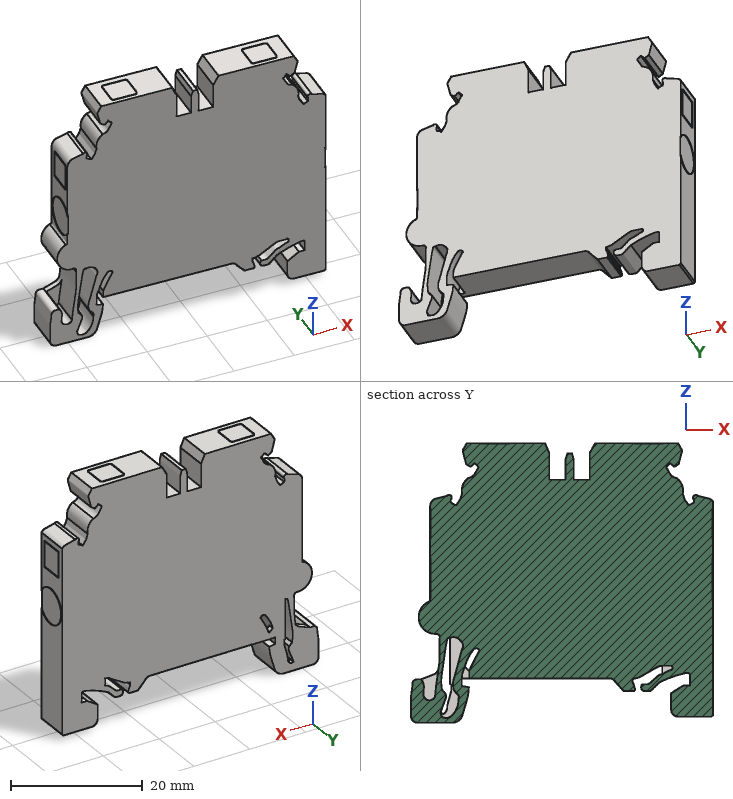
import cadquery as cq

LENGTH = 45.9
THICKNESS = 5.95
HEIGHT = 42.5

WEB = 1.0
POCKET_DEPTH = THICKNESS - WEB
RELIEF = 0.1

LEFT_WALL_X = 2.9
NOTCH_X = 7.76
RAIL_SEAT_Z = 6.74
SPRING_ROOT_TOP = (38.15, 8.65)
SPRING_ROOT_BOTTOM = (38.15, 7.42)
FOOT_Z = 0.93
FOOT_TOE_X = 39.5
FOOT_CHAMFER = 0.25
SHOULDER_AXIS_X = 24.53

SLOT_X = (21.04, 27.14)
SLOT_FLOOR_Z = 36.93
SLOT_BEVEL_Z = 41.0
SLOT_BEVEL_X = (20.36, 28.02)
TONGUE_X = (23.46, 24.74)
TONGUE_CREST_X = (23.77, 24.49)
TONGUE_SHOULDER_Z = 40.0
TONGUE_TOP_Z = 40.92

WINDOW_Y = (0.82, 4.9)
WINDOW_CORNER = 0.35
TOP_WINDOW_LENGTH = 4.25
TOP_WINDOW_STARTS_X = (10.7, 33.98)
SIDE_WINDOW_Z = (28.0, 32.5)

DISC_RADIUS = 3.05
DISC_Y = 2.6
DISC_Z = 21.95


def prism(start, *steps, depth=THICKNESS):
    """Extrude a closed X-Z outline from the front face.

    A step of one point is a line; a step of two points is an arc (middle, end).
    """
    outline = cq.Workplane("XZ").moveTo(*start)
    for step in steps:
        if len(step) == 1:
            outline = outline.lineTo(*step[0])
        else:
            outline = outline.threePointArc(*step)
    return outline.close().extrude(-depth)


def line(*points):
    """Straight steps through the given points."""
    return [(point,) for point in points]


def arc(middle, end):
    """One arc step through middle to end."""
    return [(middle, end)]


def plate():
    """Full plate with the release foot, rail spring and fixed foot on its lower side."""
    release_foot = (
        arc((7.2, 0.3), (7.79, 1.01))
        + line((8.45, 3.2))
        + arc((8.72, 4.3), (8.83, 5.43))
        + line((NOTCH_X, 5.62), (NOTCH_X, RAIL_SEAT_Z))
    )
    rail_stop = (
        line((30.3, RAIL_SEAT_Z))
        + arc((30.75, 6.55), (31.1, 6.15))
        + line((32.34, 4.81), (33.9, 4.81), (34.08, 5.04), (33.88, 5.8))
        + line((33.68, 6.2), (33.7, 6.65), (34.64, 6.87))
    )
    rail_spring = (
        line((37.3, 8.4))
        + arc((37.7, 8.58), SPRING_ROOT_TOP)
        + line(SPRING_ROOT_BOTTOM)
        + arc((37.75, 7.3), (37.4, 7.05))
        + line((36.35, 6.1))
        + arc((36.1, 5.94), (35.85, 5.89))
        + line((35.18, 5.89))
        + arc((34.95, 5.5), (35.51, 4.81))
        + line((36.15, 4.81))
        + arc((36.4, 4.87), (36.6, 5.03))
        + line((37.75, 6.15))
        + arc((39.9, 7.05), (41.7, 7.55))
    )
    fixed_foot = (
        line((42.1, 7.55))
        + arc((42.27, 7.49), (42.35, 7.3))
        + line((42.35, 5.71), (41.4, 5.71), (FOOT_TOE_X, 4.5), (FOOT_TOE_X, 2.0))
        + arc((39.8, 1.27), (40.55, FOOT_Z))
        + line((LENGTH - FOOT_CHAMFER, FOOT_Z), (LENGTH, FOOT_Z + FOOT_CHAMFER))
    )
    left_side = (
        line((LEFT_WALL_X, 18.65))
        + arc((2.8, 18.43), (2.6, 18.35))
        + arc((1.23, 15.5), (3.9, 13.5))
        + arc((4.28, 13.3), (4.34, 12.8))
        + line((4.34, 10.75))
        + arc((4.3, 9.2), (4.15, 8.1))
        + arc((3.9, 7.68), (3.55, 7.4))
        + line((1.53, 6.63), (0.95, 6.63))
        + arc((0.4, 6.4), (0.24, 5.85))
        + line((0.0, 4.0), (0.0, 1.0))
        + arc((0.31, 0.31), (1.0, 0.0))
    )
    return prism(
        (6.2, 0.0),
        *release_foot,
        *rail_stop,
        *rail_spring,
        *fixed_foot,
        *line((LENGTH, HEIGHT), (LEFT_WALL_X, HEIGHT)),
        *left_side,
    )


def shoulder_cut():
    """Waste outside the left shoulder: sloped roof, snap groove, round neck and hooked groove."""
    clear = 1.0
    roof_start = (LEFT_WALL_X, 32.7)
    nose_end = (8.5, HEIGHT)
    roof = arc((3.12, 33.55), (3.7, 34.05)) + line((5.5, 34.5))
    lower_groove = (
        arc((6.15, 34.45), (6.22, 34.1))
        + arc((6.07, 33.75), (6.18, 33.4))
        + line((6.87, 33.05), (7.45, 33.9))
    )
    neck = (
        line((7.76, 34.8))
        + arc((7.95, 36.3), (8.75, 37.2))
        + arc((9.25, 37.38), (9.62, 37.7))
    )
    upper_groove = line((10.28, 38.85), (9.7, 39.43), (9.05, 38.86), (8.38, 39.28))
    nose = line((7.87, 41.25)) + arc((7.88, 41.4), (7.95, 41.55)) + line(nose_end)
    return prism(
        roof_start,
        *roof,
        *lower_groove,
        *neck,
        *upper_groove,
        *nose,
        *line((nose_end[0], HEIGHT + clear), (LEFT_WALL_X - clear, HEIGHT + clear)),
        *line((LEFT_WALL_X - clear, roof_start[1])),
    )


def marker_slot_cut():
    """Slot between the top blocks, with a slim tongue standing in its middle."""
    slot = prism(
        (SLOT_X[0], SLOT_FLOOR_Z),
        *line(
            (SLOT_X[1], SLOT_FLOOR_Z),
            (SLOT_X[1], SLOT_BEVEL_Z),
            (SLOT_BEVEL_X[1], HEIGHT),
            (SLOT_BEVEL_X[0], HEIGHT),
            (SLOT_X[0], SLOT_BEVEL_Z),
        ),
    )
    tongue = prism(
        (TONGUE_X[0], SLOT_FLOOR_Z),
        *line(
            (TONGUE_X[1], SLOT_FLOOR_Z),
            (TONGUE_X[1], TONGUE_SHOULDER_Z),
            (TONGUE_CREST_X[1], TONGUE_TOP_Z),
            (TONGUE_CREST_X[0], TONGUE_TOP_Z),
            (TONGUE_X[0], TONGUE_SHOULDER_Z),
        ),
    )
    return slot.cut(tongue)


def screwdriver_pocket():
    """Blind U-shaped pocket in the release foot, open at the top."""
    return prism(
        (1.53, 6.63),
        *arc((1.88, 6.1), (2.0, 5.4)),
        *line((1.93, 4.2)),
        *arc((2.75, 3.45), (3.65, 4.0)),
        *line((3.8, 5.5), (4.15, 8.1), (4.15, 8.6), (1.53, 8.6)),
        depth=POCKET_DEPTH,
    )


def foot_spring_slot():
    """Long bent slot that makes the release foot springy: blind pocket plus a through strip."""
    slot_foot = (4.5, 1.55)
    left_side = (
        line((5.22, 3.5))
        + arc((5.36, 4.0), (5.27, 4.45))
        + line((4.75, 5.0))
        + arc((4.63, 6.4), (4.78, 7.8))
        + line((5.35, 11.8), (5.5, 12.55))
    )
    pocket = prism(
        slot_foot,
        *left_side,
        *arc((6.3, 13.0), (7.5, 12.5)),
        *arc((7.85, 12.0), (7.72, 11.1)),
        *line((6.6, 6.95)),
        *arc((6.38, 6.0), (6.5, 5.0)),
        *line((7.0, 4.4)),
        *arc((7.25, 4.1), (7.2, 3.65)),
        *arc((6.95, 2.2), (6.1, 1.0)),
        *arc((5.35, 0.77), (4.7, 0.95)),
        depth=POCKET_DEPTH,
    )
    through = prism(
        slot_foot,
        *left_side,
        *arc((5.65, 12.85), (5.94, 12.9)),
        *line((5.94, 5.95), (6.12, 5.8), (6.12, 4.87), (5.5, 2.6)),
        *arc((5.4, 1.9), (4.95, 1.37)),
    )
    return pocket.union(through)


def foot_arm_gap():
    """Curved gap between release foot and plate: through at its tip, blind near the rail seat."""
    step_left = (8.2, 8.5)
    step_right = (8.85, 7.92)
    blind = prism(
        (NOTCH_X, RAIL_SEAT_Z),
        *line((7.85, 7.6), step_left, step_right, (8.83, RAIL_SEAT_Z)),
        depth=POCKET_DEPTH,
    )
    tip = prism(
        step_left,
        *arc((8.75, 9.95), (9.5, 11.1)),
        *arc((10.0, 11.3), (10.4, 10.95)),
        *arc((9.6, 9.5), step_right),
    )
    return blind.union(tip)


def rail_spring_pocket():
    """Blind continuation of the gap above the rail spring."""
    return prism(
        SPRING_ROOT_TOP,
        *line((39.55, 8.65)),
        *arc((39.73, 8.35), (39.5, 8.05)),
        *line((39.2, 7.95), SPRING_ROOT_BOTTOM),
        depth=POCKET_DEPTH,
    )


def top_window(start_x):
    """Shallow rounded window sunk into the top face of a block."""
    width = WINDOW_Y[1] - WINDOW_Y[0]
    window = cq.Workplane("XY").box(TOP_WINDOW_LENGTH, width, RELIEF, centered=False)
    window = window.edges("|Z").fillet(WINDOW_CORNER)
    return window.translate((start_x, WINDOW_Y[0], HEIGHT - RELIEF))


def side_relief(wall_x):
    """Shallow square window and round recess in an end wall; wall_x is its lower X side."""
    width = WINDOW_Y[1] - WINDOW_Y[0]
    height = SIDE_WINDOW_Z[1] - SIDE_WINDOW_Z[0]
    window = cq.Workplane("XY").box(RELIEF, width, height, centered=False)
    window = window.translate((wall_x, WINDOW_Y[0], SIDE_WINDOW_Z[0]))
    disc = cq.Workplane("YZ").center(DISC_Y, DISC_Z).circle(DISC_RADIUS).extrude(RELIEF)
    return window.union(disc.translate((wall_x, 0, 0)))


left_shoulder = shoulder_cut()
right_shoulder = left_shoulder.mirror("YZ").translate((2 * SHOULDER_AXIS_X, 0, 0))

result = plate().cut(left_shoulder).cut(right_shoulder).cut(marker_slot_cut())
result = result.cut(screwdriver_pocket()).cut(foot_spring_slot()).cut(foot_arm_gap())
result = result.cut(rail_spring_pocket())
for window_x in TOP_WINDOW_STARTS_X:
    result = result.cut(top_window(window_x))
for wall_x in (LEFT_WALL_X, LENGTH - RELIEF):
    result = result.cut(side_relief(wall_x))
result = result.solids()